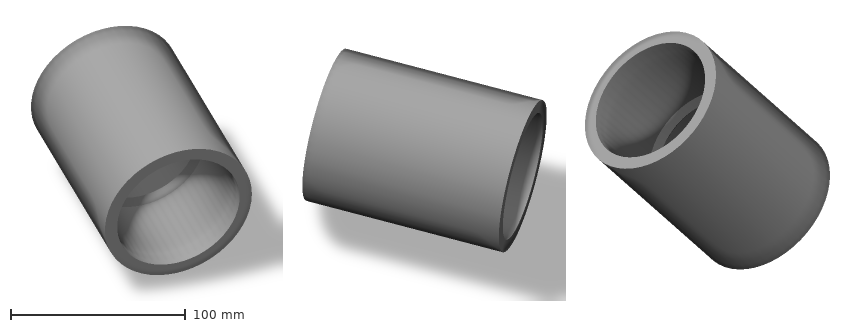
import cadquery as cq

length = 118.0
outer_diameter = 90.0
socket_diameter = 75.0
ridge_diameter = 67.5

half_length = length / 2
outer_radius = outer_diameter / 2
socket_radius = socket_diameter / 2
ridge_radius = ridge_diameter / 2

flank_length = socket_radius - ridge_radius

wall_section = (
    cq.Workplane("XY")
    .moveTo(-half_length, outer_radius)
    .lineTo(half_length, outer_radius)
    .lineTo(half_length, socket_radius)
    .lineTo(flank_length, socket_radius)
    .lineTo(0, ridge_radius)
    .lineTo(-flank_length, socket_radius)
    .lineTo(-half_length, socket_radius)
    .close()
)

result = wall_section.revolve(360, (0, 0, 0), (1, 0, 0))